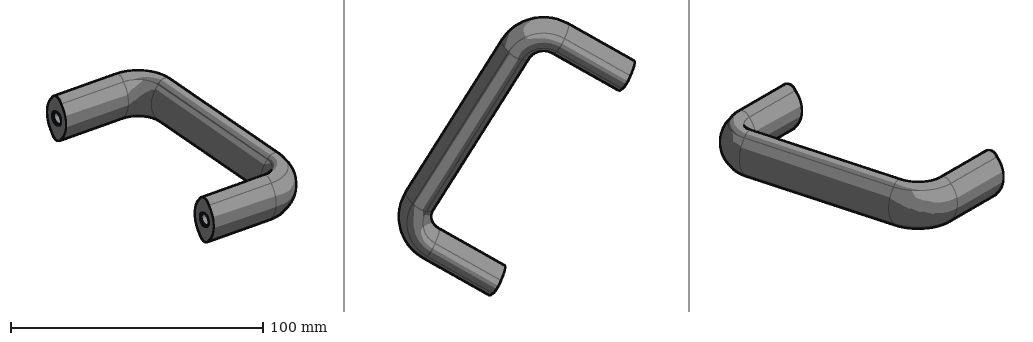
import cadquery as cq

length = 113.0
projection = 50.0
height = 20.0

bar_width = 13.0
edge_half_width = 3.2
edge_height = 8.0

bend_radius = 13.0

hole_diameter = 5.0
hole_mouth_diameter = 6.0
hole_depth = 15.0
drill_point_depth = 1.5

half_span = (length - bar_width) / 2
leg_end_y = -projection / 2
grip_y = projection / 2 - bar_width / 2
bend_start_y = grip_y - bend_radius
mouth_depth = (hole_mouth_diameter - hole_diameter) / 2


def bar_section():
    """Closed section of the left leg, drawn in its end plane."""
    w = edge_half_width
    top = height / 2
    plane = cq.Plane(origin=(-half_span, leg_end_y, 0), xDir=(-1, 0, 0), normal=(0, 1, 0))
    return (
        cq.Workplane(plane)
        .moveTo(w, -edge_height)
        .threePointArc((bar_width / 2, 0), (w, edge_height))
        .threePointArc((0, top), (-w, edge_height))
        .threePointArc((-bar_width / 2, 0), (-w, -edge_height))
        .threePointArc((0, -top), (w, -edge_height))
        .close()
    )


def centreline():
    """U-shaped path: leg, bend, grip, bend, leg."""
    bend_end_x = half_span - bend_radius
    diagonal = bend_radius * 0.5**0.5
    bend_mid = (bend_end_x + diagonal, bend_start_y + diagonal)
    return (
        cq.Workplane("XY")
        .moveTo(-half_span, leg_end_y)
        .lineTo(-half_span, bend_start_y)
        .threePointArc((-bend_mid[0], bend_mid[1]), (-bend_end_x, grip_y))
        .lineTo(bend_end_x, grip_y)
        .threePointArc(bend_mid, (half_span, bend_start_y))
        .lineTo(half_span, leg_end_y)
    )


def mounting_hole(x):
    """Countersunk blind hole with a conical bottom, along +Y from a leg end."""
    radius = hole_diameter / 2
    return (
        cq.Workplane("XY", origin=(x, leg_end_y, 0))
        .lineTo(hole_mouth_diameter / 2, 0)
        .lineTo(radius, mouth_depth)
        .lineTo(radius, hole_depth)
        .lineTo(0, hole_depth + drill_point_depth)
        .close()
        .revolve(360, (0, 0, 0), (0, 1, 0))
    )


result = bar_section().sweep(centreline())
for leg_x in (-half_span, half_span):
    result = result.cut(mounting_hole(leg_x))